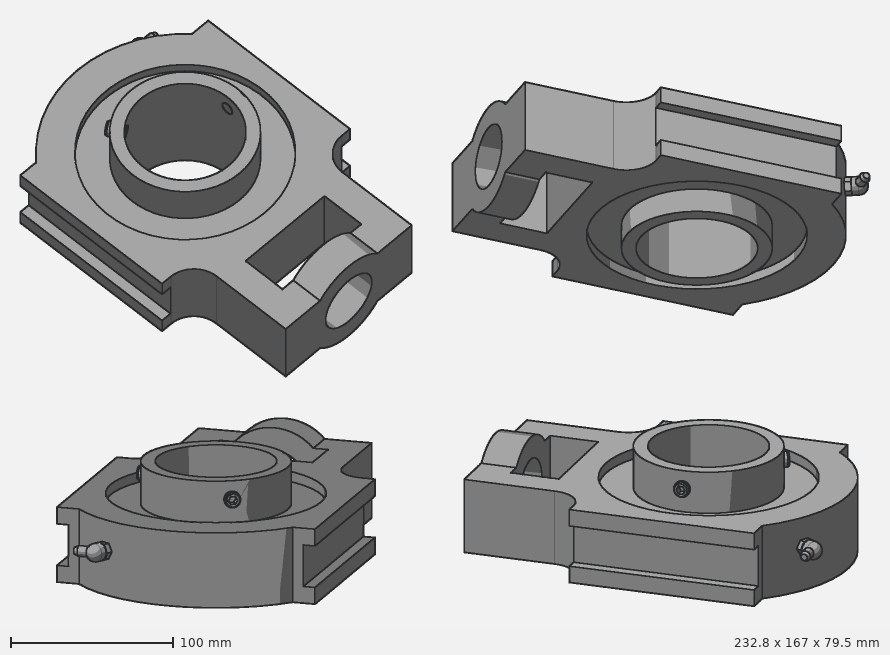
import cadquery as cq
import math


HOUSING_HEIGHT = 48.0
NOSE_RADIUS = 92.0
GUIDE_HALF_LENGTH = 60.7
GUIDE_HALF_WIDTH = 83.5
TAIL_END_X = 140.0
TAIL_HALF_WIDTH = 56.0
TAIL_FILLET_RADIUS = 20.0
GROOVE_DEPTH = 7.5
GROOVE_WIDTH = 26.5

WINDOW_START_X = 85.5
WINDOW_END_X = 117.0
WINDOW_WIDTH = 70.0
BOSS_DIAMETER = 70.0
SCREW_HOLE_DIAMETER = 41.0

SEAT_DIAMETER = 136.0
SEAT_RECESS = 6.5
RING_DIAMETER = 93.0
BORE_DIAMETER = 75.0
RING_TOP_Z = 44.5
RING_BOTTOM_Z = -33.3

SET_SCREW_ANGLES = (90.0, 210.0)
SET_SCREW_Z = 32.8
SET_SCREW_DIAMETER = 10.0
SET_SCREW_TIP_DIAMETER = 8.47
SET_SCREW_CHAMFER_LENGTH = 1.3
SET_SCREW_OUTER_RADIUS = 50.0
SET_SCREW_INNER_RADIUS = 37.7
SOCKET_ACROSS_FLATS = 5.0
SOCKET_DEPTH = 5.0

FITTING_ANGLE = 150.0
FITTING_Z = 4.6
FITTING_DIAMETER = 11.5
FITTING_HEX_ACROSS_FLATS = 10.0
FITTING_HEX_END_RADIUS = 96.2
FITTING_ELBOW_RADIUS = 100.47
FITTING_ROOT_DEPTH = 5.0
NIPPLE_DIAMETER = 6.6
NIPPLE_END_DIAMETER = 4.2
NIPPLE_SHANK_LENGTH = 11.0
NIPPLE_LENGTH = 13.6
NIPPLE_OFFSET_X = 0.8


def hex_corner_diameter(across_flats):
    return across_flats / math.cos(math.pi / 6)


def radial_plane(angle, radius, z):
    """Plane facing away from the bearing axis, with its local Y along Z."""
    direction = (math.cos(math.radians(angle)), math.sin(math.radians(angle)), 0)
    tangent = (-direction[1], direction[0], 0)
    origin = (radius * direction[0], radius * direction[1], z)
    return cq.Plane(origin=origin, xDir=tangent, normal=direction)


def housing_plate():
    nose_half_width = math.sqrt(NOSE_RADIUS**2 - GUIDE_HALF_LENGTH**2)
    fillet_end_x = GUIDE_HALF_LENGTH + TAIL_FILLET_RADIUS
    fillet_start_y = TAIL_HALF_WIDTH + TAIL_FILLET_RADIUS
    fillet_middle = TAIL_FILLET_RADIUS * (1 - math.sqrt(0.5))
    middle_x = GUIDE_HALF_LENGTH + fillet_middle
    middle_y = TAIL_HALF_WIDTH + fillet_middle
    return (
        cq.Workplane("XY")
        .workplane(offset=-HOUSING_HEIGHT / 2)
        .moveTo(-GUIDE_HALF_LENGTH, nose_half_width)
        .threePointArc((-NOSE_RADIUS, 0), (-GUIDE_HALF_LENGTH, -nose_half_width))
        .lineTo(-GUIDE_HALF_LENGTH, -GUIDE_HALF_WIDTH)
        .lineTo(GUIDE_HALF_LENGTH, -GUIDE_HALF_WIDTH)
        .lineTo(GUIDE_HALF_LENGTH, -fillet_start_y)
        .threePointArc((middle_x, -middle_y), (fillet_end_x, -TAIL_HALF_WIDTH))
        .lineTo(TAIL_END_X, -TAIL_HALF_WIDTH)
        .lineTo(TAIL_END_X, TAIL_HALF_WIDTH)
        .lineTo(fillet_end_x, TAIL_HALF_WIDTH)
        .threePointArc((middle_x, middle_y), (GUIDE_HALF_LENGTH, fillet_start_y))
        .lineTo(GUIDE_HALF_LENGTH, GUIDE_HALF_WIDTH)
        .lineTo(-GUIDE_HALF_LENGTH, GUIDE_HALF_WIDTH)
        .close()
        .extrude(HOUSING_HEIGHT)
    )


def guide_grooves():
    return (
        cq.Workplane("XY")
        .pushPoints([(0, GUIDE_HALF_WIDTH), (0, -GUIDE_HALF_WIDTH)])
        .box(2 * GUIDE_HALF_LENGTH, 2 * GROOVE_DEPTH, GROOVE_WIDTH)
    )


def tail_window():
    length = WINDOW_END_X - WINDOW_START_X
    return (
        cq.Workplane("XY")
        .center((WINDOW_START_X + WINDOW_END_X) / 2, 0)
        .box(length, WINDOW_WIDTH, HOUSING_HEIGHT)
    )


def tail_cylinder(diameter):
    """Cylinder along X through the wall between the window and the tail end."""
    return (
        cq.Workplane("YZ")
        .workplane(offset=WINDOW_END_X)
        .circle(diameter / 2)
        .extrude(TAIL_END_X - WINDOW_END_X)
    )


def grease_fitting():
    """Hex root, round elbow with a ball end, and a nipple pointing along +Y."""
    root_radius = NOSE_RADIUS - FITTING_ROOT_DEPTH
    hex_root = (
        cq.Workplane(radial_plane(FITTING_ANGLE, root_radius, FITTING_Z))
        .polygon(6, hex_corner_diameter(FITTING_HEX_ACROSS_FLATS))
        .extrude(FITTING_HEX_END_RADIUS - root_radius)
    )
    ball_radius = FITTING_DIAMETER / 2
    barrel_length = FITTING_ELBOW_RADIUS - FITTING_HEX_END_RADIUS
    ball_side = ball_radius * math.sqrt(0.5)
    elbow_plane = radial_plane(FITTING_ANGLE, FITTING_ELBOW_RADIUS, FITTING_Z)
    elbow_centre = elbow_plane.origin
    axial_plane = cq.Plane(origin=elbow_centre, xDir=elbow_plane.zDir, normal=(0, 0, 1))
    elbow = (
        cq.Workplane(axial_plane)
        .moveTo(-barrel_length, 0)
        .lineTo(-barrel_length, ball_radius)
        .lineTo(0, ball_radius)
        .threePointArc((ball_side, ball_side), (ball_radius, 0))
        .close()
        .revolve(360, (0, 0, 0), (1, 0, 0))
    )
    nipple = (
        cq.Workplane("XY")
        .lineTo(NIPPLE_DIAMETER / 2, 0)
        .lineTo(NIPPLE_DIAMETER / 2, NIPPLE_SHANK_LENGTH)
        .lineTo(NIPPLE_END_DIAMETER / 2, NIPPLE_LENGTH)
        .lineTo(0, NIPPLE_LENGTH)
        .close()
        .revolve(360, (0, 0, 0), (0, 1, 0))
        .translate(elbow_centre + cq.Vector(NIPPLE_OFFSET_X, 0, 0))
    )
    return hex_root.union(elbow).union(nipple)


def make_housing():
    seat = cq.Workplane("XY").circle(SEAT_DIAMETER / 2).extrude(HOUSING_HEIGHT / 2, both=True)
    return (
        housing_plate()
        .cut(guide_grooves())
        .cut(tail_window())
        .union(tail_cylinder(BOSS_DIAMETER))
        .cut(tail_cylinder(SCREW_HOLE_DIAMETER))
        .union(grease_fitting())
        .cut(seat)
    )


def set_screw_head(angle):
    """Outer part of a set screw, standing out of the inner ring."""
    middle_radius = (RING_DIAMETER + BORE_DIAMETER) / 4
    plane = radial_plane(angle, middle_radius, SET_SCREW_Z)
    chamfer_inset = (SET_SCREW_DIAMETER - SET_SCREW_TIP_DIAMETER) / 2
    return (
        cq.Workplane(plane)
        .circle(SET_SCREW_DIAMETER / 2)
        .extrude(SET_SCREW_OUTER_RADIUS - middle_radius)
        .faces(cq.selectors.DirectionMinMaxSelector(plane.zDir))
        .chamfer(SET_SCREW_CHAMFER_LENGTH, chamfer_inset)
    )


def set_screw_socket(angle):
    return (
        cq.Workplane(radial_plane(angle, SET_SCREW_OUTER_RADIUS - SOCKET_DEPTH, SET_SCREW_Z))
        .polygon(6, hex_corner_diameter(SOCKET_ACROSS_FLATS))
        .extrude(SOCKET_DEPTH)
    )


def set_screw_tip_recess(angle):
    """Shallow flat-bottomed recess that the screw tip leaves in the bore."""
    return (
        cq.Workplane(radial_plane(angle, 0, SET_SCREW_Z))
        .circle(SET_SCREW_TIP_DIAMETER / 2)
        .extrude(SET_SCREW_INNER_RADIUS)
    )


def make_insert():
    body_height = HOUSING_HEIGHT - 2 * SEAT_RECESS
    ring_height = RING_TOP_Z - RING_BOTTOM_Z
    body = cq.Workplane("XY").circle(SEAT_DIAMETER / 2).extrude(body_height / 2, both=True)
    ring_base = cq.Workplane("XY").workplane(offset=RING_BOTTOM_Z)
    insert = body.union(ring_base.circle(RING_DIAMETER / 2).extrude(ring_height))
    insert = insert.cut(ring_base.circle(BORE_DIAMETER / 2).extrude(ring_height))
    for angle in SET_SCREW_ANGLES:
        insert = insert.union(set_screw_head(angle))
        insert = insert.cut(set_screw_socket(angle))
        insert = insert.cut(set_screw_tip_recess(angle))
    return insert


housing = make_housing()
insert = make_insert()

result = cq.Compound.makeCompound([housing.val(), insert.val()])